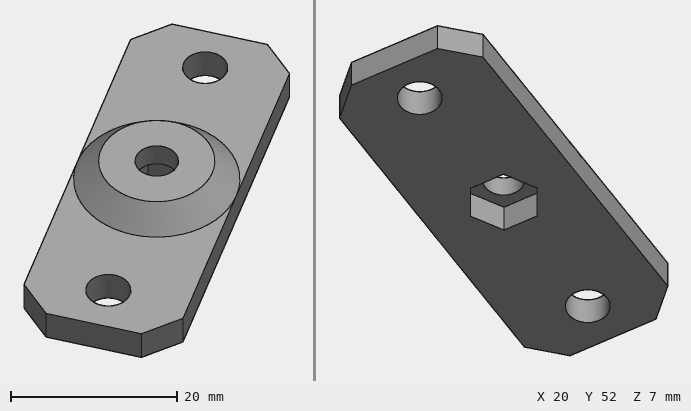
import cadquery as cq

plate_length = 52.0
plate_width = 20.0
plate_thickness = 4.0
corner_chamfer = 4.0

boss_height = 3.0
boss_base_diameter = plate_width
boss_top_diameter = boss_base_diameter - 2 * boss_height

center_hole_diameter = 5.2
mount_hole_diameter = 5.4
mount_hole_spacing = 40.0

pocket_across_flats = 8.0
pocket_depth = plate_thickness


def make_plate():
    """Rectangular plate with its four vertical corners cut at 45 degrees."""
    plate = cq.Workplane("XY").box(
        plate_width, plate_length, plate_thickness, centered=(True, True, False)
    )
    return plate.edges("|Z").chamfer(corner_chamfer)


def make_boss():
    """Truncated cone standing on the middle of the plate."""
    cone = cq.Solid.makeCone(
        boss_base_diameter / 2,
        boss_top_diameter / 2,
        boss_height,
        pnt=cq.Vector(0, 0, plate_thickness),
    )
    return cq.Workplane(obj=cone)


def make_hole(y_position, diameter):
    """Cutter through the full height of the part, on its long centerline."""
    total_height = plate_thickness + boss_height
    return cq.Workplane("XY").center(0, y_position).circle(diameter / 2).extrude(total_height)


def make_nut_pocket():
    """Hexagonal cutter that opens on the bottom face around the center hole."""
    hexagon = cq.Workplane("XY").polygon(6, pocket_across_flats, circumscribed=True)
    return hexagon.extrude(pocket_depth).rotate((0, 0, 0), (0, 0, 1), 30)


result = make_plate().union(make_boss())
result = result.cut(make_nut_pocket())
result = result.cut(make_hole(0, center_hole_diameter))
for side in (-1, 1):
    result = result.cut(make_hole(side * mount_hole_spacing / 2, mount_hole_diameter))